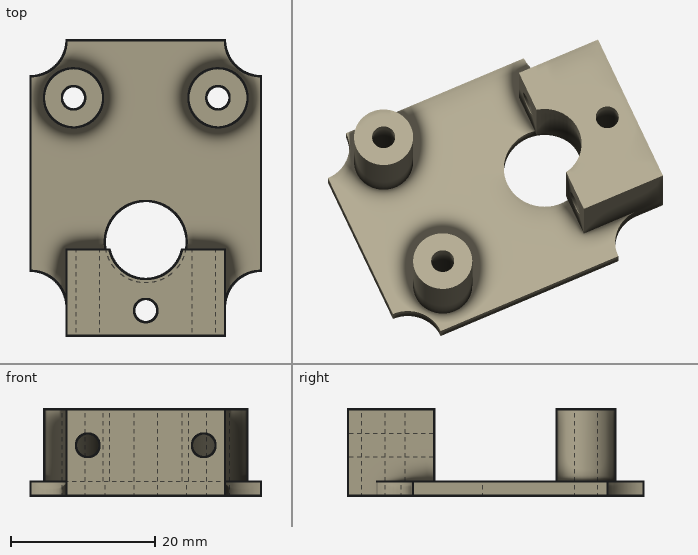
import cadquery as cq

plate_width = 32.0
plate_length = 41.0
plate_thickness = 2.0
corner_radius = 5.0
front_tongue_length = 4.0

total_height = 12.0
raised_height = total_height - plate_thickness

post_diameter = 8.2
post_hole_diameter = 3.2
post_spacing = 20.0
post_back_offset = 8.0

block_width = plate_width - 2 * corner_radius
block_depth = 12.0
block_hole_diameter = 3.2
block_hole_front_offset = 3.53
cross_hole_diameter = 3.3
cross_hole_spacing = 16.07
cross_hole_height = plate_thickness + raised_height / 2

opening_y = -7.45
plate_opening_diameter = 11.3
block_opening_diameter = 10.25

front_y = -plate_length / 2
back_y = plate_length / 2


def vertical_cylinder(x, y, diameter, bottom, height):
    return (
        cq.Workplane("XY", origin=(x, y, bottom))
        .circle(diameter / 2)
        .extrude(height)
    )


def make_plate():
    plate = cq.Workplane("XY").box(
        plate_width, plate_length, plate_thickness, centered=(True, True, False)
    )
    for x in (-plate_width / 2, plate_width / 2):
        for y in (front_y + front_tongue_length, back_y):
            plate = plate.cut(vertical_cylinder(x, y, 2 * corner_radius, 0, plate_thickness))
        notch = cq.Workplane("XY", origin=(x, front_y, 0)).box(
            2 * corner_radius, front_tongue_length, plate_thickness, centered=(True, False, False)
        )
        plate = plate.cut(notch)
    return plate.cut(vertical_cylinder(0, opening_y, plate_opening_diameter, 0, plate_thickness))


def make_block():
    block = cq.Workplane("XY", origin=(0, front_y, plate_thickness)).box(
        block_width, block_depth, raised_height, centered=(True, False, False)
    )
    block = block.cut(
        vertical_cylinder(0, opening_y, block_opening_diameter, plate_thickness, raised_height)
    )
    cross_holes = (
        cq.Workplane("XZ", origin=(0, front_y, cross_hole_height))
        .pushPoints([(-cross_hole_spacing / 2, 0), (cross_hole_spacing / 2, 0)])
        .circle(cross_hole_diameter / 2)
        .extrude(-block_depth)
    )
    return block.cut(cross_holes)


result = make_plate().union(make_block())

post_y = back_y - post_back_offset
for post_x in (-post_spacing / 2, post_spacing / 2):
    post = vertical_cylinder(post_x, post_y, post_diameter, plate_thickness, raised_height)
    post_hole = vertical_cylinder(post_x, post_y, post_hole_diameter, 0, total_height)
    result = result.union(post).cut(post_hole)

block_hole_y = front_y + block_hole_front_offset
result = result.cut(vertical_cylinder(0, block_hole_y, block_hole_diameter, 0, total_height))